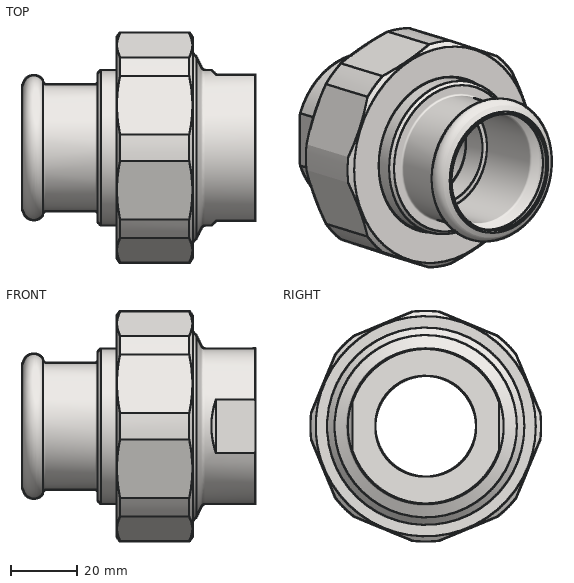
import cadquery as cq
import math


total_length = 70.5
through_diameter = 30.3
joint_diameter = 59.5
joint_x = 36.65
shoulder_x = 32.4

tube_diameter = 38.4
socket_diameter = 34.0
socket_depth = 28.5
tailpiece_bore_diameter = 30.6
mouth_diameter = 35.8
lip_diameter = 37.2
bead_diameter = 43.85
bead_half_width = 3.6
bead_flank_length = 0.8
bead_flank_diameter = 40.6
bead_root_radius = 0.85
groove_radius = 1.9
groove_center_radius = 18.3
groove_flank_angle = 60.0
groove_fillet = 0.85
collar_diameter = 47.0
collar_x = 22.8
collar_chamfer = 1.05
collar_root_fillet = 0.55

nut_corner_diameter = 69.65
nut_across_flats = 67.0
nut_sides = 8
nut_start = 28.5
nut_end = 51.6
nut_face_diameter = 66.4
nut_chamfer_length = 1.1
nut_hole_diameter = 47.5
nut_hole_chamfer = 0.2

body_diameter = 47.0
rim_edge_diameter = 55.0
rim_edge_x = 52.6
cone_end_x = 54.6
body_root_fillet = 1.0
wrench_across_flats = 44.1
wrench_flat_length = 11.9
end_chamfer = 0.2


def revolve_about_x(profile):
    """Revolve a closed profile drawn as (x, radius) about the X axis."""
    return profile.close().revolve(360, (0, 0, 0), (1, 0, 0))


def cylinder(diameter, start, end):
    return cq.Workplane("YZ", origin=(start, 0, 0)).circle(diameter / 2).extrude(end - start)


def make_bead():
    """Rolled bead: a round crown between sloping flanks, blended into the tube."""
    bead_end = 2 * bead_half_width
    tube_radius = tube_diameter / 2
    flank_radius = bead_flank_diameter / 2
    blend_sag = bead_root_radius * (1 - math.sqrt(0.5))
    blend_start = bead_end - bead_flank_length
    return revolve_about_x(
        cq.Workplane("XY")
        .moveTo(0, mouth_diameter / 2)
        .lineTo(0, lip_diameter / 2)
        .lineTo(bead_flank_length, flank_radius)
        .threePointArc((bead_half_width, bead_diameter / 2), (blend_start, flank_radius))
        .lineTo(blend_start, tube_radius + bead_root_radius)
        .threePointArc(
            (blend_start + blend_sag, tube_radius + blend_sag),
            (blend_start + bead_root_radius, tube_radius),
        )
        .lineTo(blend_start + bead_root_radius, mouth_diameter / 2)
    )


def make_tailpiece_bore():
    """Stepped bore with a round seal groove whose sloping inner flank is eased into the socket."""
    mouth_radius = mouth_diameter / 2
    socket_radius = socket_diameter / 2
    bore_radius = tailpiece_bore_diameter / 2
    groove_start = bead_half_width - groove_radius
    angle = math.radians(groove_flank_angle)
    flank_x = bead_half_width + groove_radius * math.sin(angle)
    flank_radius = groove_center_radius + groove_radius * math.cos(angle)
    corner_x = flank_x + (flank_radius - socket_radius) / math.tan(angle)

    tangent_length = groove_fillet * math.tan(angle / 2)
    easing_end = corner_x + tangent_length
    easing_center_radius = socket_radius + groove_fillet
    easing_start = (
        corner_x - tangent_length * math.cos(angle),
        socket_radius + tangent_length * math.sin(angle),
    )
    easing_middle = (
        easing_end - groove_fillet * math.sin(angle / 2),
        easing_center_radius - groove_fillet * math.cos(angle / 2),
    )
    return revolve_about_x(
        cq.Workplane("XY")
        .lineTo(0, mouth_radius)
        .lineTo(groove_start, mouth_radius)
        .lineTo(groove_start, groove_center_radius)
        .threePointArc(
            (bead_half_width, groove_center_radius + groove_radius),
            (flank_x, flank_radius),
        )
        .lineTo(*easing_start)
        .threePointArc(easing_middle, (easing_end, socket_radius))
        .lineTo(socket_depth, socket_radius)
        .lineTo(socket_depth, bore_radius)
        .lineTo(joint_x, bore_radius)
        .lineTo(joint_x, 0)
    )


def make_tailpiece():
    tube = cylinder(tube_diameter, bead_half_width, collar_x)
    collar = cylinder(collar_diameter, collar_x, shoulder_x).faces("<X").chamfer(collar_chamfer)
    flange = cylinder(joint_diameter, shoulder_x, joint_x)
    outside = tube.union(collar)
    outside = outside.edges(cq.selectors.BoxSelector(
        (collar_x - collar_chamfer / 2, -tube_diameter, -tube_diameter),
        (collar_x + collar_chamfer / 2, tube_diameter, tube_diameter),
    )).edges(cq.selectors.RadiusNthSelector(0)).fillet(collar_root_fillet)
    outside = outside.union(flange).union(make_bead())

    return outside.cut(make_tailpiece_bore())


def make_nut():
    octagon = (
        cq.Workplane("YZ", origin=(nut_start, 0, 0))
        .polygon(nut_sides, nut_across_flats / math.cos(math.pi / nut_sides))
        .extrude(nut_end - nut_start)
    )
    face_radius = nut_face_diameter / 2
    corner_radius = nut_corner_diameter / 2
    envelope = revolve_about_x(
        cq.Workplane("XY")
        .moveTo(nut_start, 0)
        .lineTo(nut_start, face_radius)
        .lineTo(nut_start + nut_chamfer_length, corner_radius)
        .lineTo(nut_end - nut_chamfer_length, corner_radius)
        .lineTo(nut_end, face_radius)
        .lineTo(nut_end, 0)
    )
    collar_hole = cylinder(nut_hole_diameter, nut_start, shoulder_x)
    joint_bore = cylinder(joint_diameter, shoulder_x, nut_end)
    nut = octagon.intersect(envelope).cut(collar_hole).cut(joint_bore)
    return nut.faces("<X").edges(cq.selectors.RadiusNthSelector(0)).chamfer(nut_hole_chamfer)


def make_body():
    bevel_start = rim_edge_x - (joint_diameter - rim_edge_diameter) / 2
    body_radius = body_diameter / 2
    body = revolve_about_x(
        cq.Workplane("XY")
        .moveTo(joint_x, through_diameter / 2)
        .lineTo(joint_x, joint_diameter / 2)
        .lineTo(bevel_start, joint_diameter / 2)
        .lineTo(rim_edge_x, rim_edge_diameter / 2)
        .lineTo(cone_end_x, body_radius)
        .lineTo(total_length - end_chamfer, body_radius)
        .lineTo(total_length, body_radius - end_chamfer)
        .lineTo(total_length, through_diameter / 2)
    )
    body = body.edges(cq.selectors.BoxSelector(
        (cone_end_x - end_chamfer, -body_diameter, -body_diameter),
        (cone_end_x + end_chamfer, body_diameter, body_diameter),
    )).fillet(body_root_fillet)

    flat_start = total_length - wrench_flat_length
    flat_y = wrench_across_flats / 2
    runout = body_radius - flat_y
    for side in (-1, 1):
        flat = (
            cq.Workplane("XY", origin=(0, 0, -body_radius))
            .moveTo(total_length, side * flat_y)
            .lineTo(flat_start, side * flat_y)
            .lineTo(flat_start - runout, side * body_radius)
            .lineTo(total_length, side * body_radius)
            .close()
            .extrude(body_diameter)
        )
        body = body.cut(flat)
    return body


tailpiece = make_tailpiece()
nut = make_nut()
body = make_body()
result = cq.Compound.makeCompound([tailpiece.val(), nut.val(), body.val()])